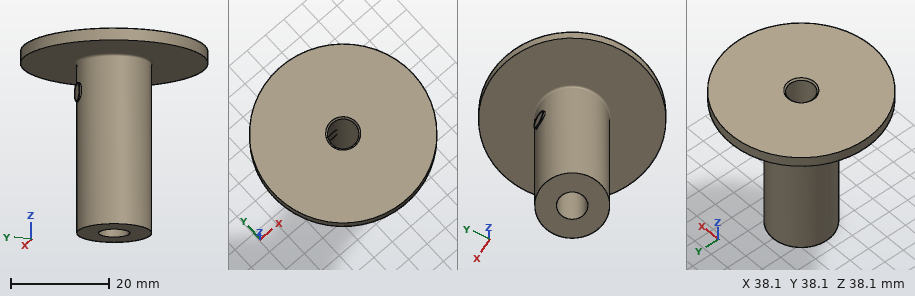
import cadquery as cq

overall_height = 38.1
flange_diameter = 38.1
flange_thickness = 2.5
post_diameter = 15.25
neck_fillet = 0.42
bore_diameter = 6.35
bore_chamfer = 0.4

screw_diameter = 3.7
screw_protrusion = 0.25
screw_depth_below_top = 9.03

sleeve_diameter = 4.0
sleeve_protrusion = 0.1

flange_bottom = overall_height - flange_thickness
screw_height = overall_height - screw_depth_below_top
radial_inner_end = bore_diameter / 2
screw_outer_end = post_diameter / 2 + screw_protrusion
sleeve_outer_end = post_diameter / 2 + sleeve_protrusion


def radial_cylinder(diameter, outer_end):
    """Cylinder on the screw axis, running from the side of the bore out to outer_end."""
    return (
        cq.Workplane("XZ", origin=(0, outer_end, screw_height))
        .circle(diameter / 2)
        .extrude(outer_end - radial_inner_end)
    )


def make_screw():
    """Plain set screw, standing slightly proud of its sleeve."""
    return radial_cylinder(screw_diameter, screw_outer_end)


def make_sleeve(screw):
    """Thin sleeve around the screw, standing slightly proud of the post."""
    return radial_cylinder(sleeve_diameter, sleeve_outer_end).cut(screw)


def make_flanged_post():
    """Post with a top flange, a filleted neck, a chamfered bore and a hole for the sleeve."""
    post = cq.Workplane("XY").circle(post_diameter / 2).extrude(overall_height)
    flange = (
        cq.Workplane("XY", origin=(0, 0, flange_bottom))
        .circle(flange_diameter / 2)
        .extrude(flange_thickness)
    )
    body = post.union(flange)

    underside = body.faces("<Z[1]")
    neck_edge = underside.edges(cq.selectors.RadiusNthSelector(0))
    body = neck_edge.fillet(neck_fillet)

    body = body.faces(">Z").workplane().hole(bore_diameter)
    body = body.faces(">Z").edges(cq.selectors.RadiusNthSelector(0)).chamfer(bore_chamfer)
    return body.cut(radial_cylinder(sleeve_diameter, sleeve_outer_end))


set_screw = make_screw()
sleeve = make_sleeve(set_screw)
flanged_post = make_flanged_post()

result = cq.Compound.makeCompound([flanged_post.val(), sleeve.val(), set_screw.val()])